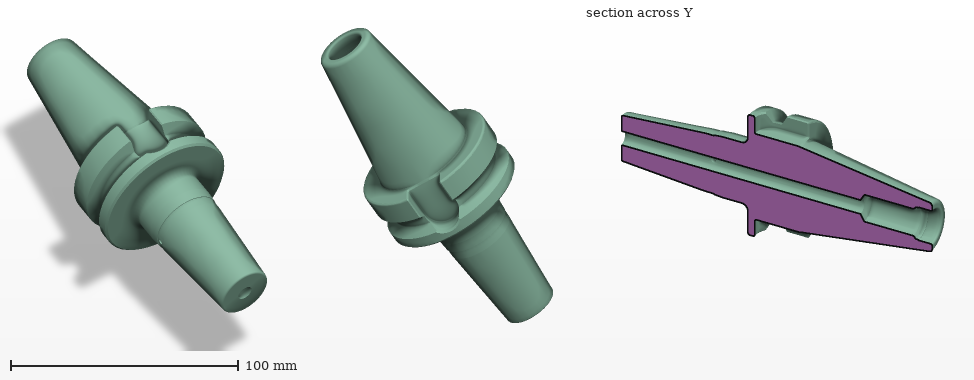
import cadquery as cq
import math


taper_length = 65.4
gauge_radius = 44.45 / 2
taper_slope = 7 / 48
small_end_radius = gauge_radius - taper_slope * taper_length
small_end_fillet = 2.0
taper_root_fillet = 0.5

flange_start = taper_length + 0.7
flange_end = taper_length + 27.0
flange_radius = 31.5
flange_front_fillet = 1.0
flange_rear_chamfer = 0.9
groove_radius = 26.5
groove_start = 76.8
groove_floor_width = 4.1
groove_wall_angle = 30.0
groove_fillet = 0.4
groove_wall_run = (flange_radius - groove_radius) * math.tan(math.radians(groove_wall_angle))
groove_floor_start = groove_start + groove_wall_run
groove_floor_end = groove_floor_start + groove_floor_width
groove_end = groove_floor_end + groove_wall_run

total_length = taper_length + 90.0
body_radius = 16.0
nose_radius = 12.0
nose_fillet = 0.8
body_root_fillet = 3.0
cone_start = 104.4
cone_slope = (body_radius - nose_radius) / (total_length - cone_start)
band_start = 109.1
band_end = 113.3

guide_radius = 8.5
guide_depth = 6.8
mouth_fillet = 1.0
lead_radius = 8.25
lead_depth = 8.2
thread_radius = 6.9
thread_depth = 34.0
through_radius = 3.5
lead_cone_angle = 45.0
floor_cone_angle = 60.0

slot_width = 16.1
slot_floor = 22.5
slot_end = 88.6
slot_floor_fillet = 0.5
slot_side_chamfer = 0.6
slot_end_chamfer = 0.8

cross_hole_diameter = 2.4

margin = 0.1


def cone_radius(x):
    """Radius of the slim nose cone at position x."""
    return nose_radius + cone_slope * (total_length - x)


def revolve_about_x(profile):
    """Turn a closed half profile, drawn as X and radius, about the X axis."""
    return profile.close().revolve(360, (0, 0, 0), (1, 0, 0))


def edges_near(x_low, x_high, radius):
    """Select edges lying within an X range and no further than radius from the axis."""
    return cq.selectors.BoxSelector(
        (x_low - margin, -radius, -radius),
        (x_high + margin, radius, radius),
        boundingbox=True,
    )


def make_body():
    """Solid of revolution: taper, flange, body and nose."""
    taper_root_radius = small_end_radius + taper_slope * flange_start
    profile = (
        cq.Workplane("XZ")
        .lineTo(0, small_end_radius)
        .lineTo(flange_start, taper_root_radius)
        .lineTo(flange_start, flange_radius)
        .lineTo(groove_start, flange_radius)
        .lineTo(groove_floor_start, groove_radius)
        .lineTo(groove_floor_end, groove_radius)
        .lineTo(groove_end, flange_radius)
        .lineTo(flange_end, flange_radius)
        .lineTo(flange_end, body_radius)
        .lineTo(cone_start, body_radius)
        .lineTo(band_start, cone_radius(band_start))
        .lineTo(band_start, cone_radius(band_end))
        .lineTo(band_end, cone_radius(band_end))
        .lineTo(total_length, nose_radius)
        .lineTo(total_length, 0)
    )
    body = revolve_about_x(profile)

    def rings(x_low, x_high, radius):
        return body.edges("%CIRCLE").edges(edges_near(x_low, x_high, radius + margin))

    body = rings(groove_floor_start, groove_floor_end, groove_radius).fillet(groove_fillet)
    body = rings(flange_start, flange_start, taper_root_radius).fillet(taper_root_fillet)
    body = rings(flange_start, flange_start, flange_radius).fillet(flange_front_fillet)
    body = rings(flange_end, flange_end, body_radius).fillet(body_root_fillet)
    body = rings(flange_end, flange_end, flange_radius).chamfer(flange_rear_chamfer)
    body = rings(0, 0, small_end_radius).fillet(small_end_fillet)
    return rings(total_length, total_length, nose_radius).fillet(nose_fillet)


def make_bore():
    """Cutter for the pull-stud bore, with rounded mouth, and the through hole."""
    lead_run = (lead_radius - thread_radius) / math.tan(math.radians(lead_cone_angle))
    floor_run = (thread_radius - through_radius) / math.tan(math.radians(floor_cone_angle))
    profile = (
        cq.Workplane("XZ")
        .lineTo(0, guide_radius + mouth_fillet)
        .radiusArc((mouth_fillet, guide_radius), -mouth_fillet)
        .lineTo(guide_depth, guide_radius)
        .lineTo(guide_depth, lead_radius)
        .lineTo(lead_depth, lead_radius)
        .lineTo(lead_depth + lead_run, thread_radius)
        .lineTo(thread_depth, thread_radius)
        .lineTo(thread_depth + floor_run, through_radius)
        .lineTo(total_length, through_radius)
        .lineTo(total_length, 0)
    )
    return revolve_about_x(profile)


def make_cross_hole():
    """Cutter for the small hole through the recessed band."""
    return (
        cq.Workplane("XZ")
        .center((band_start + band_end) / 2, 0)
        .circle(cross_hole_diameter / 2)
        .extrude(body_radius, both=True)
    )


def make_slot():
    """Cutter for the +Z drive slot, with a rounded end and filleted floor."""
    half_width = slot_width / 2
    arc_centre = slot_end - half_width
    slot = (
        cq.Workplane("XY")
        .workplane(offset=slot_floor)
        .moveTo(taper_length, -half_width)
        .lineTo(arc_centre, -half_width)
        .threePointArc((slot_end, 0), (arc_centre, half_width))
        .lineTo(taper_length, half_width)
        .close()
        .extrude(flange_radius - slot_floor + margin)
    )
    return slot.edges("<Z and (not <X)").fillet(slot_floor_fillet)


def break_slot_edges(body, side):
    """Chamfer a slot's edges on the flange; side is +1 for +Z and -1 for -Z."""
    reach = slot_width / 2 + margin
    low = slot_floor + slot_floor_fillet + margin
    high = flange_radius + margin

    def rim(x_low, x_high):
        return cq.selectors.BoxSelector((x_low, -reach, side * low), (x_high, reach, side * high))

    body = body.edges(rim(taper_length, groove_start)).chamfer(slot_side_chamfer)
    return body.edges(rim(groove_end, slot_end)).chamfer(slot_end_chamfer)


result = make_body().cut(make_bore()).cut(make_cross_hole())
upper_slot = make_slot()
for side in (1, -1):
    turn = 0 if side == 1 else 180
    result = result.cut(upper_slot.rotate((0, 0, 0), (1, 0, 0), turn))
    result = break_slot_edges(result, side)